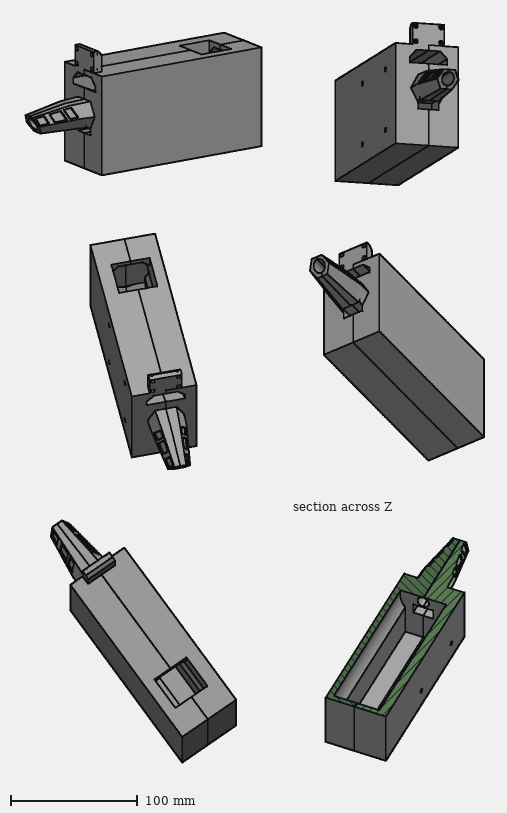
import cadquery as cq
import math


LEFT_WIDTH = 27.5
RIGHT_WIDTH = 24.8
BOX_LENGTH = 152.3
BOX_HEIGHT = 81.0
WALL = 5.0

TAB_WIDTH = 26.0
TAB_HEIGHT = 17.2
TAB_THICKNESS = 7.5
TAB_CHAMFER = 3.0
TAB_HOLE_DIAMETER = 3.3
TAB_HOLE_DEPTH = 4.1
TAB_HOLE_TIP = 1.0
TAB_HOLE_SPACING_X = 21.0
TAB_HOLE_SPACING_Z = 12.3
TAB_HOLE_EDGE = 2.5

CHANNEL_WIDTH = 31.0
CHANNEL_TOP = 76.8
CHANNEL_CHAMFER = 6.0
SLOT_BOTTOM = 66.0
FRONT_RAMP_ANGLE = 25
REAR_RAMP_START = 126.9
CHAMBER_DIAMETER = 40.0
CHAMBER_AXIS_Z = 44.7
CHAMBER_END = BOX_LENGTH - WALL
OPENING_START = 101.5
OPENING_END = 130.0

LOWER_SLOT_WIDTH = 17.2
LOWER_SLOT_BOTTOM = 29.1
LOWER_SLOT_TOP = 38.2
NOZZLE_NICK = 4.0

SCREW_Y = (25.7, 83.7)
SCREW_Z = (15.8, 64.9)
SCREW_HEAD_DIAMETER = 3.5
SCREW_HEAD_DEPTH = 2.5
SCREW_DIAMETER = 2.0
SCREW_DEPTH = 6.2

ROOT = (0, 45.5, 0, 11.3, 14.8, 8.6)
KNEE = (-12.0, 46.0, 33, 12.1, 14.2, 7.4)
TIP = (-48.9, 43.7, 30, 8.2, 9.0, 4.7)
NOZZLE_BORE_DIAMETER = 9.9
NOZZLE_BORE_Z = 44.1

POCKET_SPANS = ((0.03, 0.22), (0.30, 0.59), (0.73, 0.95))
POCKET_TOP = 0.15
POCKET_BOTTOM = 0.86
POCKET_LEAN = 0.04
POCKET_DEPTH = 1.2


def block(x0, x1, y0, y1, z0, z1):
    return cq.Workplane("XY").box(x1 - x0, y1 - y0, z1 - z0, centered=False).translate((x0, y0, z0))


def centred_block(width, y0, y1, z0, z1):
    return block(-width / 2, width / 2, y0, y1, z0, z1)


def hexagon(section):
    """Corners of a tilted nozzle hexagon: top, side and bottom, left first, then the right ones."""
    y, z, tilt, half_height, half_corner, half_flat = section
    rise = half_height * math.cos(math.radians(tilt))
    lead = half_height * math.sin(math.radians(tilt))
    left = [
        cq.Vector(-half_flat, y - lead, z + rise),
        cq.Vector(-half_corner, y, z),
        cq.Vector(-half_flat, y + lead, z - rise),
    ]
    right = [cq.Vector(-p.x, p.y, p.z) for p in reversed(left)]
    return left + right


def nozzle_pocket(start, end):
    """Cutter for one pocket in the upper left face between knee and tip."""
    knee_top, knee_side = hexagon(KNEE)[:2]
    tip_top, tip_side = hexagon(TIP)[:2]
    normal = (tip_side - knee_top).cross(tip_top - knee_side).normalized()
    if normal.x > 0:
        normal = -normal
    centre = (knee_top + knee_side + tip_top + tip_side) * 0.25
    face = cq.Plane(origin=centre, xDir=tip_top - knee_top, normal=normal)

    def corner(along, across):
        along += POCKET_LEAN * (across - 0.5)
        top = knee_top + (tip_top - knee_top) * along
        side = knee_side + (tip_side - knee_side) * along
        local = face.toLocalCoords(top + (side - top) * across)
        return (local.x, local.y)

    outline = [
        corner(start, POCKET_TOP),
        corner(end, POCKET_TOP),
        corner(end, POCKET_BOTTOM),
        corner(start, POCKET_BOTTOM),
    ]
    return cq.Workplane(face).polyline(outline).close().extrude(POCKET_DEPTH, both=True)


def make_nozzle():
    sections = [cq.Wire.makePolygon(hexagon(s), close=True) for s in (ROOT, KNEE, TIP)]
    nozzle = cq.Workplane(cq.Solid.makeLoft(sections, True))
    for start, end in POCKET_SPANS:
        pocket = nozzle_pocket(start, end)
        nozzle = nozzle.cut(pocket).cut(pocket.mirror("YZ"))
    return nozzle


def make_magazine():
    """Cutter for the magazine channel with its sloped ends, the round chamber and all openings."""
    half = CHANNEL_WIDTH / 2
    floor = WALL
    shoulder_z = CHANNEL_TOP - CHANNEL_CHAMFER
    channel = (
        cq.Workplane("XZ")
        .polyline([
            (-half, floor),
            (half, floor),
            (half, shoulder_z),
            (half - CHANNEL_CHAMFER, CHANNEL_TOP),
            (CHANNEL_CHAMFER - half, CHANNEL_TOP),
            (-half, shoulder_z),
        ])
        .close()
        .extrude(-CHAMBER_END)
    )
    ramp_end_z = CHAMBER_AXIS_Z + math.sqrt((CHAMBER_DIAMETER / 2) ** 2 - half**2)
    chamber_start = (SLOT_BOTTOM - ramp_end_z) / math.tan(math.radians(FRONT_RAMP_ANGLE))
    side_profile = (
        cq.Workplane("YZ")
        .polyline([
            (0, CHANNEL_TOP),
            (0, SLOT_BOTTOM),
            (chamber_start, ramp_end_z),
            (chamber_start, floor),
            (REAR_RAMP_START, floor),
            (CHAMBER_END, floor + CHAMBER_END - REAR_RAMP_START),
            (CHAMBER_END, CHANNEL_TOP),
        ])
        .close()
        .extrude(half, both=True)
    )
    chamber = (
        cq.Workplane("XZ", origin=(0, chamber_start, CHAMBER_AXIS_Z))
        .circle(CHAMBER_DIAMETER / 2)
        .extrude(chamber_start - CHAMBER_END)
    )
    opening = centred_block(CHANNEL_WIDTH, OPENING_START, OPENING_END, shoulder_z, BOX_HEIGHT)
    lower_slot = centred_block(
        LOWER_SLOT_WIDTH, -NOZZLE_NICK, chamber_start, LOWER_SLOT_BOTTOM, LOWER_SLOT_TOP
    )
    nozzle_bore = (
        cq.Workplane("XZ", origin=(0, chamber_start, NOZZLE_BORE_Z))
        .circle(NOZZLE_BORE_DIAMETER / 2)
        .extrude(BOX_LENGTH)
    )
    magazine_space = channel.intersect(side_profile)
    for opening_part in (chamber, opening, lower_slot, nozzle_bore):
        magazine_space = magazine_space.union(opening_part)
    return magazine_space


def make_tab():
    """Tab with its rear top edge chamfered and four blind holes with conical ends."""
    tab = centred_block(TAB_WIDTH, 0, TAB_THICKNESS, BOX_HEIGHT, BOX_HEIGHT + TAB_HEIGHT)
    tab = tab.edges(">Y and >Z").chamfer(TAB_CHAMFER)
    hole = (
        cq.Workplane("XY")
        .polyline([
            (0, 0),
            (TAB_HOLE_DIAMETER / 2, 0),
            (TAB_HOLE_DIAMETER / 2, TAB_HOLE_DEPTH),
            (0, TAB_HOLE_DEPTH + TAB_HOLE_TIP),
        ])
        .close()
        .revolve(360, (0, 0, 0), (0, 1, 0))
    )
    top_row = BOX_HEIGHT + TAB_HEIGHT - TAB_HOLE_EDGE
    for x in (-TAB_HOLE_SPACING_X / 2, TAB_HOLE_SPACING_X / 2):
        for z in (top_row, top_row - TAB_HOLE_SPACING_Z):
            tab = tab.cut(hole.translate((x, 0, z)))
    return tab


def cut_screw_holes(body):
    positions = [(y, z) for y in SCREW_Y for z in SCREW_Z]
    side = cq.Workplane("YZ", origin=(-LEFT_WIDTH, 0, 0)).pushPoints(positions)
    heads = side.circle(SCREW_HEAD_DIAMETER / 2).extrude(SCREW_HEAD_DEPTH)
    shanks = side.circle(SCREW_DIAMETER / 2).extrude(SCREW_DEPTH)
    return body.cut(heads).cut(shanks)


def make_half(x0, x1, nozzle, magazine):
    """Hollow box and nozzle between two X positions."""
    slab = block(x0, x1, -BOX_LENGTH, BOX_LENGTH, 0, BOX_HEIGHT)
    box = block(x0, x1, 0, BOX_LENGTH, 0, BOX_HEIGHT)
    return box.union(nozzle.intersect(slab)).cut(magazine)


nozzle = make_nozzle()
magazine = make_magazine()
left_half = cut_screw_holes(make_half(-LEFT_WIDTH, 0, nozzle, magazine).union(make_tab()))
right_half = make_half(0, RIGHT_WIDTH, nozzle, magazine)

result = cq.Compound.makeCompound([left_half.val(), right_half.val()])